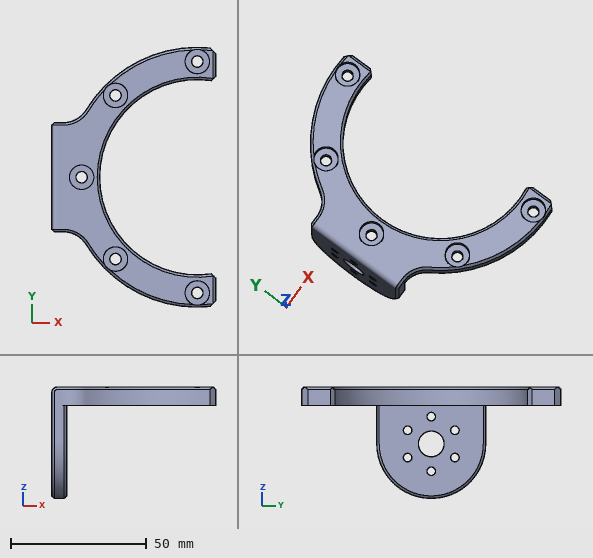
import cadquery as cq
import math

length = 60.3
outer_radius = 47.8
height = 41.0

plate_thickness = 6.9
inner_radius = 35.85
ring_center_x = 53.5
tip_chamfer = 1.9
neck_radius = 10.0

tab_thickness = 5.5
tab_half_width = 20.1
tab_center_z = tab_half_width - height

bend_radius = 2.0
edge_chamfer = 1.0

ring_bolt_radius = 42.5
ring_hole_diameter = 4.1
counterbore_diameter = 9.0
counterbore_depth = 3.0
ring_hole_angles = [90, 135, 180, 225, 270]

shaft_hole_diameter = 9.4
tab_bolt_radius = 10.0
tab_hole_diameter = 3.1
tab_hole_count = 6


def make_plate():
    """Half ring blended into a straight-sided neck, with square tips."""
    arc_center_y = tab_half_width + neck_radius
    center_distance = outer_radius + neck_radius
    arc_center_x = ring_center_x - math.sqrt(center_distance**2 - arc_center_y**2)
    ring_share = outer_radius / center_distance
    touch_x = ring_center_x + (arc_center_x - ring_center_x) * ring_share
    touch_y = arc_center_y * ring_share

    start_angle = -math.pi / 2
    end_angle = math.atan2(touch_y - arc_center_y, touch_x - arc_center_x)
    neck_angle = (start_angle + end_angle) / 2
    neck_mid_x = arc_center_x + neck_radius * math.cos(neck_angle)
    neck_mid_y = arc_center_y + neck_radius * math.sin(neck_angle)

    def neck(side):
        return (
            cq.Workplane("XY")
            .moveTo(0, 0)
            .lineTo(0, side * tab_half_width)
            .lineTo(arc_center_x, side * tab_half_width)
            .threePointArc((neck_mid_x, side * neck_mid_y), (touch_x, side * touch_y))
            .lineTo(ring_center_x, 0)
            .close()
            .extrude(-plate_thickness)
        )

    ring = cq.Workplane("XY").center(ring_center_x, 0).circle(outer_radius).extrude(-plate_thickness)
    bounds = (
        cq.Workplane("XY")
        .center(length / 2, 0)
        .rect(length, 2 * outer_radius)
        .extrude(-plate_thickness)
    )
    opening = cq.Workplane("XY").center(ring_center_x, 0).circle(inner_radius).extrude(-plate_thickness)
    return ring.intersect(bounds).union(neck(1)).union(neck(-1)).cut(opening)


def make_tab():
    """Upright tab with a round lower end and a chamfered inner rim."""
    tab = (
        cq.Workplane("YZ")
        .moveTo(-tab_half_width, 0)
        .lineTo(-tab_half_width, tab_center_z)
        .threePointArc((0, -height), (tab_half_width, tab_center_z))
        .lineTo(tab_half_width, 0)
        .close()
        .extrude(tab_thickness)
    )
    return tab.faces(">X").edges("not >Z").chamfer(edge_chamfer)


def break_edges(body):
    """Round the outer bend, then chamfer the rim of the top and tab faces."""
    body = body.faces("<X").edges(">Z").fillet(bend_radius)
    bend_zone = cq.selectors.BoxSelector((0, -outer_radius, -bend_radius), (bend_radius, outer_radius, 0))
    bend_ends = body.edges(bend_zone).edges("%CIRCLE")
    top_rim = body.faces(">Z").edges("not(|Y and <X)")
    tab_rim = body.faces("<X").edges("not >Z")
    return body.newObject(bend_ends.vals() + top_rim.vals() + tab_rim.vals()).chamfer(edge_chamfer)


def clip_tips(body):
    """Clip the upright corners at both ring tips, across the already chamfered rim."""
    end_offset = length - ring_center_x
    outer_corner_y = math.sqrt(outer_radius**2 - end_offset**2)
    inner_corner_y = math.sqrt(inner_radius**2 - end_offset**2)
    for side in (1, -1):
        for corner_y, inward in ((outer_corner_y, -1), (inner_corner_y, 1)):
            reach = 2 * tip_chamfer
            wedge = (
                cq.Workplane("XY")
                .moveTo(length + tip_chamfer, side * (corner_y + inward * reach))
                .lineTo(length - reach, side * (corner_y - inward * tip_chamfer))
                .lineTo(length + tip_chamfer, side * (corner_y - inward * tip_chamfer))
                .close()
                .extrude(-plate_thickness)
            )
            body = body.cut(wedge)
    return body


def cut_ring_holes(body):
    centers = [
        (
            ring_center_x + ring_bolt_radius * math.cos(math.radians(angle)),
            ring_bolt_radius * math.sin(math.radians(angle)),
        )
        for angle in ring_hole_angles
    ]
    holes = cq.Workplane("XY").pushPoints(centers).circle(ring_hole_diameter / 2).extrude(-plate_thickness)
    counterbores = (
        cq.Workplane("XY").pushPoints(centers).circle(counterbore_diameter / 2).extrude(-counterbore_depth)
    )
    return body.cut(holes).cut(counterbores)


def cut_tab_holes(body):
    face = cq.Workplane("YZ").center(0, tab_center_z)
    shaft_hole = face.circle(shaft_hole_diameter / 2).extrude(tab_thickness)
    bolt_holes = (
        face.polarArray(tab_bolt_radius, 90, 360, tab_hole_count)
        .circle(tab_hole_diameter / 2)
        .extrude(tab_thickness)
    )
    return body.cut(shaft_hole).cut(bolt_holes)


bracket = clip_tips(break_edges(make_plate().union(make_tab())))
result = cut_tab_holes(cut_ring_holes(bracket))